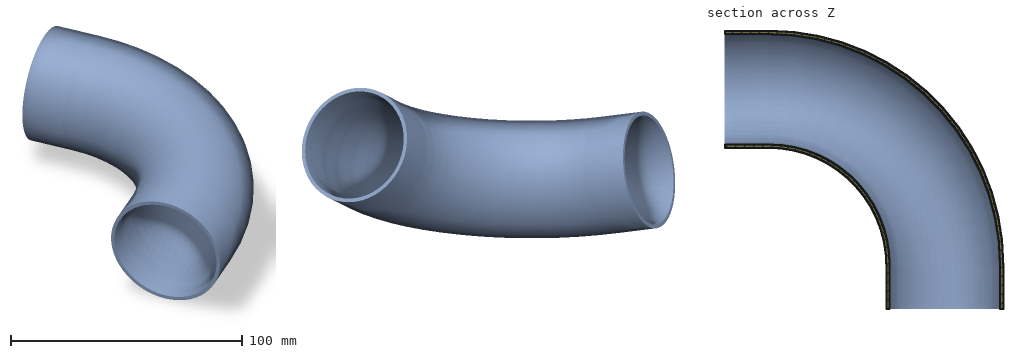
import cadquery as cq

overall_length = 120.4
outer_diameter = 50.8
inner_diameter = 47.5
straight_length = 19.0

bend_radius = overall_length - straight_length - outer_diameter / 2
bend_angle = 90


def ring(plane):
    """Tube cross-section: two concentric circles on the given plane."""
    return cq.Workplane(plane).circle(outer_diameter / 2).circle(inner_diameter / 2)


inlet_plane = cq.Plane(origin=(0, bend_radius, 0), xDir=(0, 1, 0), normal=(-1, 0, 0))
outlet_plane = cq.Plane(origin=(bend_radius, 0, 0), xDir=(1, 0, 0), normal=(0, -1, 0))

inlet_straight = ring(inlet_plane).extrude(straight_length)
outlet_straight = ring(outlet_plane).extrude(straight_length)

bend = ring(outlet_plane).revolve(bend_angle, (-bend_radius, 0), (-bend_radius, 1))

result = bend.union(inlet_straight).union(outlet_straight)